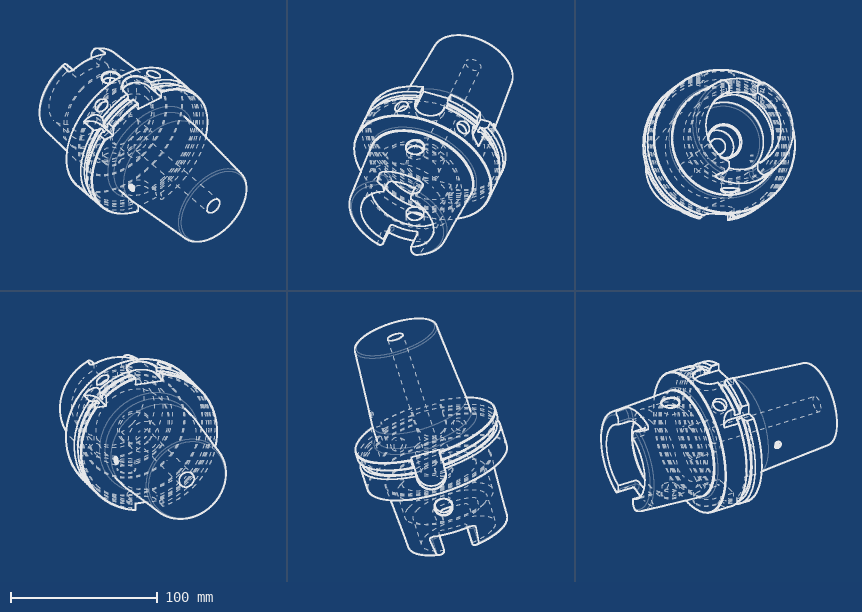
import cadquery as cq
import math

overall_length = 150.0
shank_length = 50.0
tip_x = -shank_length
nose_x = overall_length - shank_length

margin = 1.5

shank_end_radius = 75.6 / 2
shank_taper = 1 / 20
shank_end_x = -2.4
undercut_radius = 37.2
undercut_width = 0.9
undercut_bevel = 0.3
collar_radius = shank_end_radius
collar_fillet = 1.5
tip_round = 2.0

flange_radius = 100.0 / 2
flange_width = 29.0
flange_edge = 0.5
groove_center_x = 20.0
groove_floor_radius = 92.2 / 2
groove_floor_width = 4.0
groove_mouth_width = 6.9
groove_shoulder_radius = 48.0

neck_radius = 67.0 / 2
neck_fillet = 3.0
taper_start_x = 42.9
nose_angle = 4.3
nose_edge = 1.4

bore_radius = 53.0 / 2
bore_floor_x = 0.0
bore_floor_fillet = 1.8
clamp_groove_radius = 63.0 / 2
clamp_groove_start = -30.0
clamp_groove_end = -9.0
clamp_groove_angle = 60.0
clamp_groove_run_out_angle = 45.0
tube_bore_radius = 22.4 / 2
tube_bore_depth = 18.0
tube_bore_chamfer = 0.9
coolant_hole_radius = 11.0 / 2

keyway_half_width = 20.0 / 2
keyway_round = 4.8
keyway_flat_height = 32.1
keyway_floor_fillet = 2.1
upper_keyway_depth = 10.0
lower_keyway_depth = 15.0

shank_hole_diameter = 12.0
shank_hole_x = -14.8
shank_hole_edge = 0.5

slot_half_width = 20.0 / 2
slot_floor_height = 44.0
slot_start_x = 4.5
slot_edge = 0.3

notch_corner = 31.5
notch_round = 19.0 / 2
notch_tangent_x = 14.8

rim_hole_diameter = 9.5
rim_hole_x = 9.0
rim_hole_floor_radius = 45.5
rim_hole_angles = (22.0, -32.0)
drill_point_angle = 130.0

screw_x = 51.0
screw_diameter = 5.0
screw_depth = 0.8
screw_socket_diameter = 2.1
screw_socket_depth = 1.5


def revolve_about_x(profile):
    return profile.close().revolve(360, (0, 0, 0), (1, 0, 0))


def make_body():
    tip_radius = shank_end_radius - shank_taper * (shank_end_x - tip_x)
    collar_x = shank_end_x + undercut_width
    nose_radius = neck_radius - (nose_x - taper_start_x) * math.tan(math.radians(nose_angle))
    floor_left = groove_center_x - groove_floor_width / 2
    floor_right = groove_center_x + groove_floor_width / 2
    mouth_left = groove_center_x - groove_mouth_width / 2
    mouth_right = groove_center_x + groove_mouth_width / 2
    profile = (
        cq.Workplane("XY")
        .moveTo(tip_x, 0)
        .lineTo(tip_x, tip_radius)
        .lineTo(shank_end_x, shank_end_radius)
        .lineTo(shank_end_x + undercut_bevel, undercut_radius)
        .lineTo(collar_x - undercut_bevel, undercut_radius)
        .lineTo(collar_x, collar_radius)
        .radiusArc((0, collar_radius + collar_fillet), -collar_fillet)
        .lineTo(0, flange_radius - flange_edge)
        .lineTo(flange_edge, flange_radius)
        .lineTo(mouth_left, flange_radius)
        .lineTo(floor_left, groove_shoulder_radius)
        .lineTo(floor_left, groove_floor_radius)
        .lineTo(floor_right, groove_floor_radius)
        .lineTo(floor_right, groove_shoulder_radius)
        .lineTo(mouth_right, flange_radius)
        .lineTo(flange_width - flange_edge, flange_radius)
        .lineTo(flange_width, flange_radius - flange_edge)
        .lineTo(flange_width, neck_radius + neck_fillet)
        .radiusArc((flange_width + neck_fillet, neck_radius), -neck_fillet)
        .lineTo(taper_start_x, neck_radius)
        .lineTo(nose_x, nose_radius)
        .lineTo(nose_x, 0)
    )
    body = revolve_about_x(profile)
    body = body.faces("<X").edges().fillet(tip_round)
    return body.faces(">X").edges().fillet(nose_edge)


def make_bore():
    lead = (clamp_groove_radius - bore_radius) / math.tan(math.radians(clamp_groove_angle))
    run_out = (clamp_groove_radius - bore_radius) / math.tan(math.radians(clamp_groove_run_out_angle))
    tube_floor_x = bore_floor_x + tube_bore_depth
    profile = (
        cq.Workplane("XY")
        .moveTo(tip_x, 0)
        .lineTo(tip_x, bore_radius)
        .lineTo(clamp_groove_start, bore_radius)
        .lineTo(clamp_groove_start + lead, clamp_groove_radius)
        .lineTo(clamp_groove_end, clamp_groove_radius)
        .lineTo(clamp_groove_end + run_out, bore_radius)
        .lineTo(bore_floor_x - bore_floor_fillet, bore_radius)
        .radiusArc((bore_floor_x, bore_radius - bore_floor_fillet), bore_floor_fillet)
        .lineTo(bore_floor_x, tube_bore_radius + tube_bore_chamfer)
        .lineTo(bore_floor_x + tube_bore_chamfer, tube_bore_radius)
        .lineTo(tube_floor_x, tube_bore_radius)
        .lineTo(tube_floor_x, coolant_hole_radius)
        .lineTo(nose_x, coolant_hole_radius)
        .lineTo(nose_x, 0)
    )
    return revolve_about_x(profile)


def make_keyway(depth):
    """Cutter for the +Z keyway; its mouth is widened by a round along each side wall."""
    round_start = keyway_flat_height - keyway_round
    mouth_half_width = keyway_half_width + keyway_round
    outer = shank_end_radius + 2 * margin
    corner_limit = outer - margin
    profile = (
        cq.Workplane("YZ", origin=(tip_x, 0, 0))
        .moveTo(-keyway_half_width, 0)
        .lineTo(-keyway_half_width, round_start)
        .radiusArc((-mouth_half_width, keyway_flat_height), -keyway_round)
        .lineTo(-outer, keyway_flat_height)
        .lineTo(-outer, outer)
        .lineTo(outer, outer)
        .lineTo(outer, keyway_flat_height)
        .lineTo(mouth_half_width, keyway_flat_height)
        .radiusArc((keyway_half_width, round_start), -keyway_round)
        .lineTo(keyway_half_width, 0)
        .close()
    )
    cutter = profile.extrude(depth)
    floor_corners = cq.selectors.BoxSelector(
        (-outer, -corner_limit, margin), (outer, corner_limit, corner_limit)
    )
    return cutter.faces(">X").edges(floor_corners).fillet(keyway_floor_fillet)


def cut_shank_hole(part):
    """Cross hole through both walls of the shank, with its outer edges broken."""
    radius = shank_hole_diameter / 2
    reach = shank_end_radius
    hole = cq.Workplane("XY", origin=(shank_hole_x, 0, -reach)).circle(radius).extrude(2 * reach)
    part = part.cut(hole)
    left = shank_hole_x - radius
    right = shank_hole_x + radius
    mouth_start = clamp_groove_radius + margin
    upper_mouth = cq.selectors.BoxSelector((left, -radius, mouth_start), (right, radius, reach))
    lower_mouth = cq.selectors.BoxSelector((left, -radius, -reach), (right, radius, -mouth_start))
    return part.edges(upper_mouth + lower_mouth).chamfer(shank_hole_edge)


def make_slot():
    """Cutter for the +Z rim slot: a rounded end at the left, open at the right."""
    center_x = slot_start_x + slot_half_width
    profile = (
        cq.Workplane("XY", origin=(0, 0, slot_floor_height))
        .moveTo(flange_width, -slot_half_width)
        .lineTo(center_x, -slot_half_width)
        .threePointArc((slot_start_x, 0), (center_x, slot_half_width))
        .lineTo(flange_width, slot_half_width)
        .close()
    )
    return profile.extrude(flange_radius - slot_floor_height + margin)


def bevel_slot_edges(part):
    """Break the edges where the slot walls meet the rim on both sides of the groove."""
    side = slot_half_width + slot_edge
    left_end = groove_center_x - groove_mouth_width / 2
    right_start = groove_center_x + groove_mouth_width / 2
    right_end = flange_width - flange_edge
    for start, end in ((0, left_end), (right_start, right_end)):
        for low, high in ((groove_floor_radius, flange_radius), (-flange_radius, -groove_floor_radius)):
            rim_edges = cq.selectors.BoxSelector((start, -side, low), (end, side, high))
            part = part.edges(rim_edges).chamfer(slot_edge)
    return part


def make_notch():
    """Cutter for the -Y +Z corner notch, with a round at its left end."""
    outer_y = -notch_corner - notch_round
    profile = (
        cq.Workplane("XY", origin=(0, 0, notch_corner))
        .moveTo(flange_width, -notch_corner)
        .lineTo(notch_tangent_x, -notch_corner)
        .radiusArc((notch_tangent_x - notch_round, outer_y), -notch_round)
        .lineTo(flange_width, outer_y)
        .close()
    )
    return profile.extrude(flange_radius - notch_corner)


def make_rim_hole(angle):
    """Radial drilled hole, turned by the angle from +Z towards +Y."""
    radius = rim_hole_diameter / 2
    point = radius / math.tan(math.radians(drill_point_angle / 2))
    profile = (
        cq.Workplane("XZ")
        .moveTo(0, rim_hole_floor_radius - point)
        .lineTo(radius, rim_hole_floor_radius)
        .lineTo(radius, flange_radius + margin)
        .lineTo(0, flange_radius + margin)
        .close()
    )
    hole = profile.revolve(360, (0, 0, 0), (0, 1, 0))
    return hole.rotate((0, 0, 0), (1, 0, 0), -angle).translate((rim_hole_x, 0, 0))


def make_screw_hole():
    drop = (screw_x - taper_start_x) * math.tan(math.radians(nose_angle))
    surface_radius = neck_radius - drop
    floor = cq.Workplane("XZ", origin=(screw_x, -surface_radius + screw_depth, 0))
    recess = floor.circle(screw_diameter / 2).extrude(2 * screw_depth)
    socket = floor.circle(screw_socket_diameter / 2).extrude(-screw_socket_depth)
    return recess.union(socket)


result = make_body().cut(make_bore())
result = result.cut(make_keyway(upper_keyway_depth))
result = result.cut(make_keyway(lower_keyway_depth).mirror("XY"))
result = cut_shank_hole(result)
result = result.cut(make_slot())
result = result.cut(make_slot().mirror("XY"))
result = bevel_slot_edges(result)
result = result.cut(make_notch())
for hole_angle in rim_hole_angles:
    result = result.cut(make_rim_hole(hole_angle))
result = result.cut(make_screw_hole())